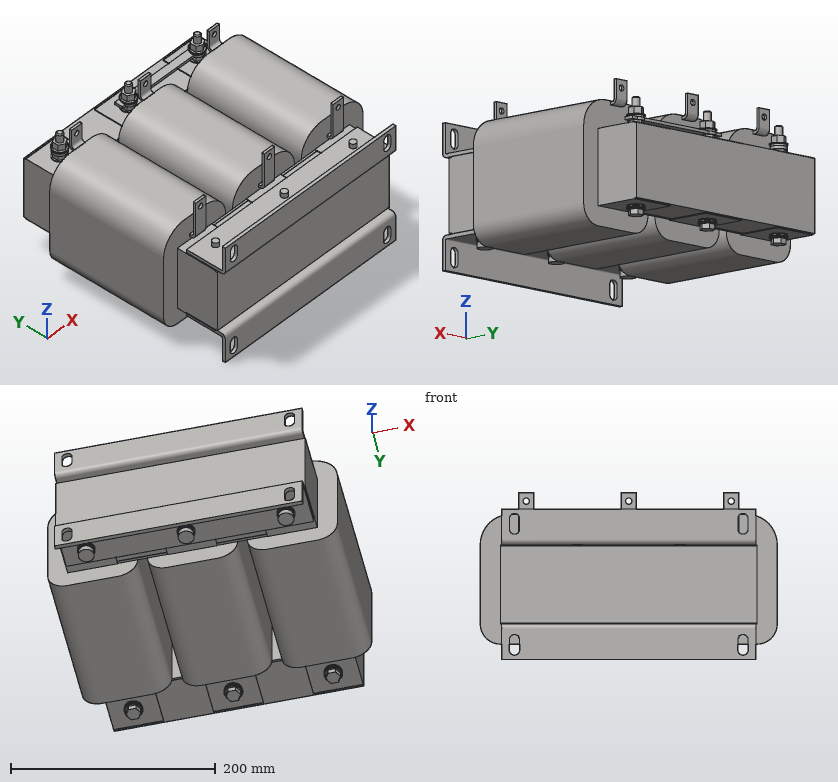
import cadquery as cq


PHASE_PITCH = 100.0
PHASE_POSITIONS = [-PHASE_PITCH, 0.0, PHASE_PITCH]
LEG_WIDTH = 50.0
CORE_WIDTH = 2 * PHASE_PITCH + LEG_WIDTH
CORE_LENGTH = 255.0
YOKE_HEIGHT = 75.0
YOKE_DEPTH = 50.0
YOKE_CENTRE_Y = (CORE_LENGTH - YOKE_DEPTH) / 2
LEG_HEIGHT = 77.0
LEG_LENGTH = 250.0
LEG_TOP = LEG_HEIGHT / 2

COIL_WIDTH = 90.0
COIL_LENGTH = 150.0
COIL_TOP = 68.5
COIL_BOTTOM = -58.5
COIL_TOP_RADIUS = 30.0
COIL_BOTTOM_RADIUS = 20.0
COIL_END = COIL_LENGTH / 2

STRIP_HEIGHT = 76.0
FRONT_STRIP_START = COIL_END
FRONT_STRIP_END = CORE_LENGTH / 2 - YOKE_DEPTH
REAR_STRIP_START = 76.0
REAR_STRIP_END = 78.3

ANGLE_WIDTH = 248.0
ANGLE_THICKNESS = 4.0
ANGLE_FLANGE_DEPTH = 51.0
ANGLE_OUTER_Y = 137.1
ANGLE_TIP_Z = 73.5
ANGLE_BEND_RADIUS = 1.0
SLOT_SPACING = 223.0
SLOT_LENGTH = 20.0
SLOT_WIDTH = 10.0
SLOT_EDGE_DISTANCE = 14.5
SLOT_CENTRE_Z = ANGLE_TIP_Z - SLOT_EDGE_DISTANCE

TAB_WIDTH = 15.0
TAB_THICKNESS = 3.0
TAB_BEND_RADIUS = 3.0
TAB_OUTER_Y = 83.0
TAB_TIP_Z = 89.5
FRONT_TAB_BASE_Z = 42.7
REAR_TAB_BASE_Z = 64.3
TAB_HOLE_DIAMETER = 6.0
TAB_HOLE_EDGE_DISTANCE = 8.3
TAB_HOLE_Z = TAB_TIP_Z - TAB_HOLE_EDGE_DISTANCE

BOLT_DIAMETER = 8.0
HEX_ACROSS_CORNERS = 15.0
HEX_CORNERS_ALONG_X = 0
HEX_CORNERS_ALONG_Y = 90
WASHER_DIAMETER = 17.5
WASHER_THICKNESS = 2.0

STUD_TOP = 69.5
STUD_CHAMFER = 1.2
THIN_WASHER_THICKNESS = 1.0
LOWER_NUT_HEIGHT = 6.0
BAR_THICKNESS = 3.0
WIDE_WASHER_DIAMETER = 18.5
WIDE_WASHER_THICKNESS = 1.0
UPPER_NUT_HEIGHT = 7.5
SPACER_DIAMETER = 17.0
CONTACT_WASHER_DIAMETER = 16.5
BAR_BOTTOM = LEG_TOP + THIN_WASHER_THICKNESS + LOWER_NUT_HEIGHT
BAR_TOP = BAR_BOTTOM + BAR_THICKNESS

COLLAR_BOTTOM = -43.0
REAR_WIDE_WASHER_TOP = -41.0
REAR_HEAD_BOTTOM = -48.3

BAR_WIDTH = 10.0
BAR_OVERHANG = 12.5
BAR_LENGTH = PHASE_PITCH + 2 * BAR_OVERHANG
BAR_OFFSET_Y = 2.0

FRONT_BOLT_TOP = 48.3
FRONT_BOLT_BOTTOM = -52.5
FRONT_HEAD_DIAMETER = 15.5
SPRING_WASHER_DIAMETER = 15.0


def block(width, y_start, y_end, height):
    """Box centred on X and Z, reaching from y_start to y_end."""
    depth = y_end - y_start
    return cq.Workplane("XY").box(width, depth, height).translate((0, y_start + depth / 2, 0))


def disc(x, y, diameter, bottom, top):
    """Vertical cylinder between two heights."""
    return cq.Workplane("XY", origin=(x, y, bottom)).circle(diameter / 2).extrude(top - bottom)


def hexagon(x, y, bottom, top, turn):
    """Vertical hexagonal prism, turned about its own axis."""
    prism = cq.Workplane("XY").polygon(6, HEX_ACROSS_CORNERS).extrude(top - bottom)
    return prism.rotate((0, 0, 0), (0, 0, 1), turn).translate((x, y, bottom))


def bent_strip(width, start_y, outer_y, base_z, tip_z, thickness, inner_radius):
    """Flat strip leaving start_y towards -Y, then bent upwards with its outer face at -outer_y."""
    outer_radius = inner_radius + thickness
    inner_y = thickness - outer_y
    bend_y = outer_radius - outer_y
    bend_z = base_z + outer_radius
    return (
        cq.Workplane("YZ")
        .moveTo(start_y, base_z)
        .lineTo(bend_y, base_z)
        .radiusArc((-outer_y, bend_z), outer_radius)
        .lineTo(-outer_y, tip_z)
        .lineTo(inner_y, tip_z)
        .lineTo(inner_y, bend_z)
        .radiusArc((bend_y, base_z + thickness), -inner_radius)
        .lineTo(start_y, base_z + thickness)
        .close()
        .extrude(width / 2, both=True)
    )


def make_core():
    core = block(CORE_WIDTH, FRONT_STRIP_END, CORE_LENGTH / 2, YOKE_HEIGHT)
    core = core.union(block(CORE_WIDTH, -CORE_LENGTH / 2, -FRONT_STRIP_END, YOKE_HEIGHT))
    core = core.union(block(CORE_WIDTH, -FRONT_STRIP_END, -FRONT_STRIP_START, STRIP_HEIGHT))
    core = core.union(block(CORE_WIDTH, REAR_STRIP_START, REAR_STRIP_END, STRIP_HEIGHT))
    leg = block(LEG_WIDTH, -LEG_LENGTH / 2, LEG_LENGTH / 2, LEG_HEIGHT)
    for x in PHASE_POSITIONS:
        core = core.union(leg.translate((x, 0, 0)))
    return core


def make_coil():
    height = COIL_TOP - COIL_BOTTOM
    return (
        cq.Workplane("XY")
        .box(COIL_WIDTH, COIL_LENGTH, height)
        .translate((0, 0, COIL_BOTTOM + height / 2))
        .edges("|Y and >Z")
        .fillet(COIL_TOP_RADIUS)
        .edges("|Y and <Z")
        .fillet(COIL_BOTTOM_RADIUS)
    )


def make_tab(base_z):
    tab = bent_strip(
        TAB_WIDTH, -COIL_END, TAB_OUTER_Y, base_z, TAB_TIP_Z, TAB_THICKNESS, TAB_BEND_RADIUS
    )
    hole = (
        cq.Workplane("XZ", origin=(0, -COIL_END, TAB_HOLE_Z))
        .circle(TAB_HOLE_DIAMETER / 2)
        .extrude(TAB_OUTER_Y)
    )
    return tab.cut(hole)


def make_upper_angle():
    angle = bent_strip(
        ANGLE_WIDTH,
        ANGLE_FLANGE_DEPTH - ANGLE_OUTER_Y,
        ANGLE_OUTER_Y,
        LEG_TOP,
        ANGLE_TIP_Z,
        ANGLE_THICKNESS,
        ANGLE_BEND_RADIUS,
    )
    slots = (
        cq.Workplane("XZ", origin=(0, -COIL_END, SLOT_CENTRE_Z))
        .pushPoints([(-SLOT_SPACING / 2, 0), (SLOT_SPACING / 2, 0)])
        .slot2D(SLOT_LENGTH, SLOT_WIDTH, 90)
        .extrude(ANGLE_OUTER_Y)
    )
    return angle.cut(slots)


def make_terminal_stud(x):
    y = YOKE_CENTRE_Y
    washer_top = LEG_TOP + THIN_WASHER_THICKNESS
    contact_top = BAR_TOP + WASHER_THICKNESS
    wide_top = contact_top + WIDE_WASHER_THICKNESS
    nut_top = wide_top + UPPER_NUT_HEIGHT
    rear_wide_bottom = REAR_WIDE_WASHER_TOP - WIDE_WASHER_THICKNESS
    shank = disc(x, y, BOLT_DIAMETER, REAR_HEAD_BOTTOM, STUD_TOP)
    stud = shank.faces(">Z").chamfer(STUD_CHAMFER)
    stud = stud.union(disc(x, y, WASHER_DIAMETER, LEG_TOP, washer_top))
    stud = stud.union(hexagon(x, y, washer_top, BAR_BOTTOM, HEX_CORNERS_ALONG_Y))
    stud = stud.union(disc(x, y, SPACER_DIAMETER, BAR_BOTTOM, BAR_TOP))
    stud = stud.union(disc(x, y, CONTACT_WASHER_DIAMETER, BAR_TOP, contact_top))
    stud = stud.union(disc(x, y, WIDE_WASHER_DIAMETER, contact_top, wide_top))
    stud = stud.union(hexagon(x, y, wide_top, nut_top, HEX_CORNERS_ALONG_Y))
    stud = stud.union(disc(x, y, WASHER_DIAMETER, -washer_top, -LEG_TOP))
    stud = stud.union(disc(x, y, CONTACT_WASHER_DIAMETER, COLLAR_BOTTOM, -washer_top))
    stud = stud.union(disc(x, y, WIDE_WASHER_DIAMETER, rear_wide_bottom, REAR_WIDE_WASHER_TOP))
    return stud.union(hexagon(x, y, REAR_HEAD_BOTTOM, COLLAR_BOTTOM, HEX_CORNERS_ALONG_X))


def make_link_bar():
    centre_y = YOKE_CENTRE_Y + BAR_OFFSET_Y
    centre_z = BAR_BOTTOM + BAR_THICKNESS / 2
    bar = cq.Workplane("XY").box(BAR_LENGTH, BAR_WIDTH, BAR_THICKNESS)
    return bar.translate((PHASE_PITCH / 2, centre_y, centre_z))


def make_front_bolt(x):
    y = -YOKE_CENTRE_Y
    seat = -LEG_TOP - ANGLE_THICKNESS
    washer_bottom = seat - WASHER_THICKNESS
    spring_bottom = washer_bottom - WASHER_THICKNESS
    bolt = disc(x, y, BOLT_DIAMETER, FRONT_BOLT_BOTTOM, FRONT_BOLT_TOP)
    bolt = bolt.union(disc(x, y, WASHER_DIAMETER, washer_bottom, seat))
    bolt = bolt.union(disc(x, y, SPRING_WASHER_DIAMETER, spring_bottom, washer_bottom))
    return bolt.union(disc(x, y, FRONT_HEAD_DIAMETER, FRONT_BOLT_BOTTOM, spring_bottom))


coil = make_coil()
front_tab = make_tab(FRONT_TAB_BASE_Z)
rear_tab = make_tab(REAR_TAB_BASE_Z).mirror("XZ")
upper_angle = make_upper_angle()
lower_angle = upper_angle.mirror("XY")

result = make_core().union(upper_angle).union(lower_angle)
for phase_x in PHASE_POSITIONS:
    for phase_part in (coil, front_tab, rear_tab):
        result = result.union(phase_part.translate((phase_x, 0, 0)))
    result = result.union(make_terminal_stud(phase_x))
    result = result.union(make_front_bolt(phase_x))
result = result.union(make_link_bar())